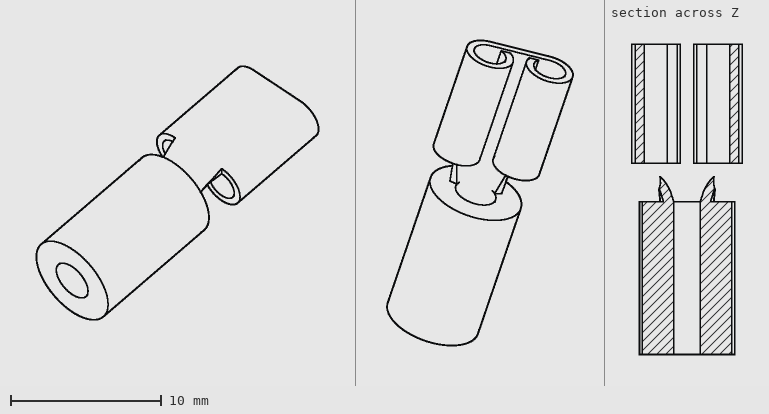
import cadquery as cq
import math

length = 20.62
barrel_length = 10.17
neck_length = 2.54
crimp_length = length - barrel_length - neck_length

barrel_diameter = 6.35
bore_radius = 1.4

sheet = 0.52
sheet_top = bore_radius + sheet
flat_half_width = 2.06
crimp_width = 7.36
curl_radius = crimp_width / 2 - flat_half_width
curl_center_z = sheet_top - curl_radius
curl_tip_z = 1.1
neck_half_angle = 68.5

neck_start = barrel_length - length / 2
neck_end = neck_start + neck_length


def polar(radius, degrees, center_x=0.0, center_z=0.0):
    """Point on a circle, with the angle measured from +X toward +Z."""
    angle = math.radians(degrees)
    return (center_x + radius * math.cos(angle), center_z + radius * math.sin(angle))


def xz_plane(y):
    """Sketch plane at a given Y, with local axes along +X and +Z."""
    return cq.Workplane("XZ", origin=(0, y, 0))


def make_barrel():
    return (
        xz_plane(neck_start)
        .circle(barrel_diameter / 2)
        .circle(bore_radius)
        .extrude(barrel_length)
    )


def make_neck():
    """Sheet changing from an arc around the bore to the flat of the crimp."""
    right_angle = 90 - neck_half_angle
    left_angle = 90 + neck_half_angle
    curved_end = (
        xz_plane(neck_start)
        .moveTo(*polar(sheet_top, left_angle))
        .threePointArc((0, sheet_top), polar(sheet_top, right_angle))
        .lineTo(*polar(bore_radius, right_angle))
        .threePointArc((0, bore_radius), polar(bore_radius, left_angle))
        .close()
    )
    flat_end = (
        xz_plane(neck_end)
        .moveTo(-flat_half_width, sheet_top)
        .lineTo(flat_half_width, sheet_top)
        .lineTo(flat_half_width, bore_radius)
        .lineTo(-flat_half_width, bore_radius)
        .close()
    )
    wires = [curved_end.val(), flat_end.val()]
    return cq.Workplane(cq.Solid.makeLoft(wires, True))


def make_crimp():
    """Flat sheet whose two sides curl under and back up toward the flat."""
    inner_radius = curl_radius - sheet
    tip_rise = curl_tip_z - curl_center_z

    def on_curl(radius, degrees):
        return polar(radius, degrees, flat_half_width, curl_center_z)

    def tip_angle(radius):
        return 180 - math.degrees(math.asin(tip_rise / radius))

    outer_tip = on_curl(curl_radius, tip_angle(curl_radius))
    inner_tip = on_curl(inner_radius, tip_angle(inner_radius))
    outermost_angle = 0
    right_half = (
        xz_plane(neck_end)
        .moveTo(0, sheet_top)
        .lineTo(flat_half_width, sheet_top)
        .threePointArc(on_curl(curl_radius, outermost_angle), outer_tip)
        .lineTo(*inner_tip)
        .threePointArc(on_curl(inner_radius, outermost_angle), on_curl(inner_radius, 90))
        .lineTo(0, bore_radius)
        .close()
        .extrude(-crimp_length)
    )
    return right_half.union(right_half.mirror("YZ"))


result = make_barrel().union(make_neck()).union(make_crimp()).clean()